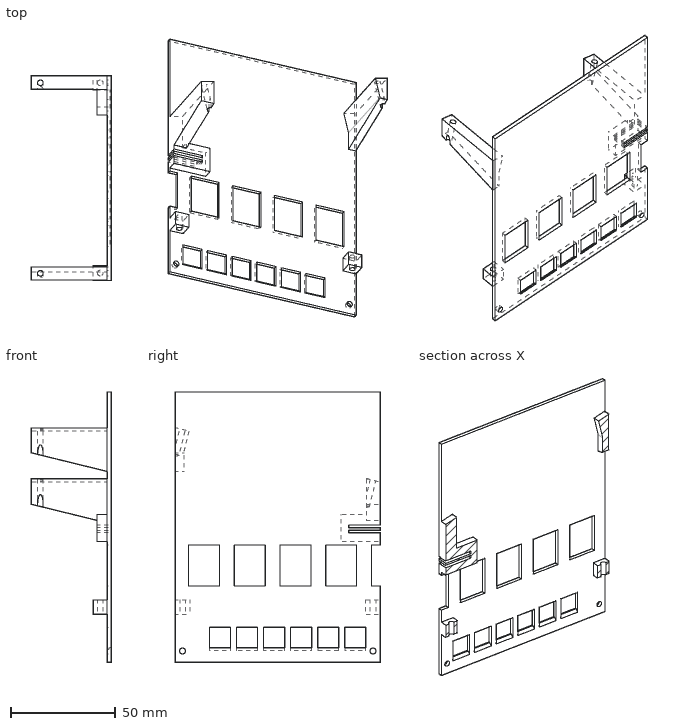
import cadquery as cq
import math

plate_thickness = 2.0
plate_width = 98.5
plate_height = 130.0

hole_diameter = 2.7
plate_hole_inset = 3.5
plate_hole_height = 5.5

large_window_count = 5
large_window_width = 14.7
large_window_height = 19.5
large_window_pitch = 22.0
large_window_bottom = 36.8
large_window_margin = 6.5

small_window_count = 6
small_window_width = 10.0
small_window_pitch = 13.0
small_window_margin = 7.0
small_window_top = 16.8
small_window_bottom = 7.0
sill_chamfer = 1.3

post_size = 7.0
post_edge_gap = 0.1
post_depth = 6.8
post_bottom = 23.0

block_depth = 5.0
block_width = 19.0
block_height = 13.0
block_bottom = 58.0
slot_length = 15.1
slot_height = 1.2
slot_bottoms = (62.3, 64.7)

bracket_length = 36.5
bracket_tilt = 14.0
bracket_edge_gap = 0.3
bracket_hole_from_tip = 4.4
bracket_hole_inset = 3.5
underside_drop = 9.0
right_bracket_top = 112.7
right_bracket_width = 6.6
right_bracket_foot_width = 4.2
right_bracket_foot_top = 100.9
right_bracket_tip_bottom = 100.6
left_bracket_top = 88.3
left_bracket_width = 6.6
left_bracket_tip_bottom = 75.9

tilt_slope = math.tan(math.radians(bracket_tilt))


def box(x, y, z, dx, dy, dz):
    """Box with its lowest corner at (x, y, z)."""
    return cq.Workplane("XY").box(dx, dy, dz, centered=False).translate((x, y, z))


def prism_along_x(points, start, length):
    """Prism with a Y-Z outline, extruded along +X from x = start."""
    return cq.Workplane("YZ").workplane(offset=start).polyline(points).close().extrude(length)


def prism_along_y(points, start, length):
    """Prism with an X-Z outline, extruded along +Y from y = start."""
    return cq.Workplane("XZ").workplane(offset=-start).polyline(points).close().extrude(-length)


def make_plate():
    plate = box(0, 0, 0, plate_thickness, plate_width, plate_height)
    for i in range(large_window_count):
        y = large_window_margin + i * large_window_pitch
        plate = plate.cut(
            box(0, y, large_window_bottom, plate_thickness, large_window_width, large_window_height)
        )
    window_outline = [
        (0, small_window_bottom - sill_chamfer),
        (sill_chamfer, small_window_bottom),
        (plate_thickness, small_window_bottom),
        (plate_thickness, small_window_top),
        (0, small_window_top),
    ]
    for i in range(small_window_count):
        y = plate_width - small_window_margin - small_window_width - i * small_window_pitch
        plate = plate.cut(prism_along_y(window_outline, y, small_window_width))
    for y in (plate_hole_inset, plate_width - plate_hole_inset):
        hole = cq.Workplane("YZ").center(y, plate_hole_height).circle(hole_diameter / 2)
        plate = plate.cut(hole.extrude(plate_thickness))
    return plate


def make_post(y):
    """Square post with a vertical through hole."""
    post = box(-post_depth, y, post_bottom, post_depth, post_size, post_size)
    return post.faces(">Z").workplane(centerOption="CenterOfBoundBox").hole(hole_diameter)


def make_bracket(outline, tip_bottom, hole_y, hole_z):
    """Bracket with a Y-Z outline, a sloped underside and a tilted through hole."""
    bracket = prism_along_x(outline, -bracket_length, bracket_length)
    lowest = tip_bottom - underside_drop
    below_underside = [(-bracket_length, tip_bottom), (0, lowest), (-bracket_length, lowest)]
    bracket = bracket.cut(prism_along_y(below_underside, 0, plate_width))
    hole_x = bracket_hole_from_tip - bracket_length
    drill = (
        cq.Workplane("XY")
        .circle(hole_diameter / 2)
        .extrude(plate_height, both=True)
        .rotate((0, 0, 0), (1, 0, 0), -bracket_tilt)
        .translate((hole_x, hole_y, hole_z))
    )
    return bracket.cut(drill)


def make_right_bracket():
    y_outer = bracket_edge_gap
    y_foot = right_bracket_foot_width
    y_inner = right_bracket_width
    foot_bottom = right_bracket_tip_bottom - underside_drop
    outline = [
        (y_outer, foot_bottom),
        (y_foot, foot_bottom),
        (y_foot, right_bracket_foot_top),
        (y_inner, right_bracket_top - (y_inner - y_outer) * tilt_slope),
        (y_outer, right_bracket_top),
    ]
    hole_z = right_bracket_top - (bracket_hole_inset - y_outer) * tilt_slope
    return make_bracket(outline, right_bracket_tip_bottom, bracket_hole_inset, hole_z)


def make_left_bracket():
    y_inner = plate_width - left_bracket_width
    foot_bottom = left_bracket_tip_bottom - underside_drop
    outline = [
        (y_inner, foot_bottom),
        (plate_width, foot_bottom),
        (plate_width, left_bracket_top - left_bracket_width * tilt_slope),
        (y_inner, left_bracket_top),
    ]
    hole_y = plate_width - bracket_hole_inset
    hole_z = left_bracket_top - (hole_y - y_inner) * tilt_slope
    return make_bracket(outline, left_bracket_tip_bottom, hole_y, hole_z)


result = make_plate()

result = result.union(make_post(post_edge_gap)).union(make_post(plate_width - post_size))
result = result.union(
    box(-block_depth, plate_width - block_width, block_bottom, block_depth, block_width, block_height)
)

for slot_bottom in slot_bottoms:
    result = result.cut(
        box(
            -block_depth,
            plate_width - slot_length,
            slot_bottom,
            block_depth + plate_thickness,
            slot_length,
            slot_height,
        )
    )

result = result.union(make_right_bracket()).union(make_left_bracket())